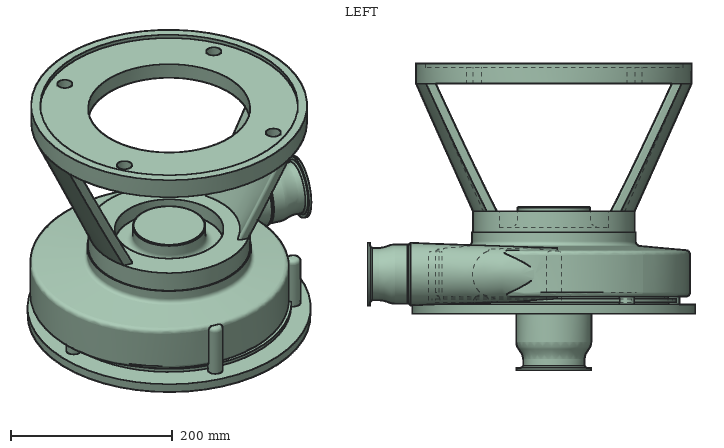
import cadquery as cq
import math

PLATE_R = 175.0
PLATE_T = 11.7

CASING_BOTTOM = 21.0
CASING_TOP_AT_AXIS = 93.5
CASING_TOP_SLOPE = math.radians(5.2)
CASING_EDGE_FILLET = 5.5
SPIRAL_RADII = (171.0, 164.0, 150.5)
SPIRAL_BEARINGS = (155, 220, 360, 505)
SPIRAL_MARGIN = 20.2
FIRST_CENTRE = (-4.0, 0.0)
COVER_LIP_R = 151.0
COVER_LIP_BOTTOM = 14.0
COVER_LIP_TOP = 18.5
COVER_SPIGOT_R = 141.7

POST_COUNT = 5
POST_R = 9.5
POST_CIRCLE_R = 153.5
POST_TOP = 77.7
POST_FILLET = 5.0

NECK_R = 101.2
NECK_TOP = 101.0
NECK_FILLET = 5.5
RING_R = 100.0
RING_TOP = 126.7
RING_BORE_R = 67.2
RING_BORE_DEPTH = 20.0
HUB_R = 45.0
HUB_TOP = 132.0
HUB_CHAMFER = 1.2
HUB_FILLET = 10.0

FLANGE_R = 170.5
FLANGE_BOTTOM = 284.2
FLANGE_TOP = 309.5
FLANGE_BORE_R = RING_R
RECESS_R = 159.0
RECESS_DEPTH = 5.0
BOLT_HOLE_R = 9.5
BOLT_COUNT = 4
BOLT_CIRCLE_R = 140.0
BOLT_START_BEARING = 45
LEG_T = 12.5
LEG_HALF_WIDTH_BOTTOM = 56.0
LEG_HALF_WIDTH_TOP = 64.5
LEG_FILLET = 3.0

INLET_R = 46.5
INLET_NECK_R = 38.0
INLET_FERRULE_R = 46.0
INLET_LENGTH = 70.0
INLET_STRAIGHT = 35.0

OUTLET_X = -140.0
OUTLET_Z = 49.0
OUTLET_END_Y = 230.0
OUTLET_START_Y = -4.0
OUTLET_BODY_END_Y = 177.0
OUTLET_START_R = 32.5
OUTLET_BODY_R = 39.0
OUTLET_R = 37.0
OUTLET_NECK_R = 32.5
OUTLET_FERRULE_R = 39.0
OUTLET_CHAMFER = 2.0
OUTLET_GROOVE = 1.0
OUTLET_STRAIGHT = 15.0

FERRULE_RIM = 3.2
FERRULE_FLARE = 2.5
FERRULE_STEP = 2.5
NECK_LENGTH = 8.5


def disc(radius, bottom, top):
    """Cylinder on the pump axis between two heights."""
    return cq.Workplane("XY").workplane(offset=bottom).circle(radius).extrude(top - bottom)


def on_circle(radius, bearing_deg, centre=(0.0, 0.0)):
    """Point at a bearing on a circle in plan."""
    angle = math.radians(bearing_deg)
    return (centre[0] + radius * math.cos(angle), centre[1] + radius * math.sin(angle))


def casing_top(radius):
    """Height of the conical casing roof at a distance from the axis."""
    return CASING_TOP_AT_AXIS - radius * math.tan(CASING_TOP_SLOPE)


def spiral_outline():
    """Tangent arcs of falling radius, closed by a short line under the outlet."""
    centre = FIRST_CENTRE
    radius = SPIRAL_RADII[0]
    outline = cq.Workplane("XY").workplane(offset=CASING_BOTTOM)
    outline = outline.moveTo(*on_circle(radius, SPIRAL_BEARINGS[0], centre))
    for i, next_radius in enumerate(SPIRAL_RADII):
        start, end = SPIRAL_BEARINGS[i], SPIRAL_BEARINGS[i + 1]
        centre = on_circle(radius - next_radius, start, centre)
        radius = next_radius
        middle = on_circle(radius, (start + end) / 2, centre)
        outline = outline.threePointArc(middle, on_circle(radius, end, centre))
    return outline.close()


def casing():
    drum = spiral_outline().extrude(CASING_TOP_AT_AXIS - CASING_BOTTOM)
    reach = PLATE_R + SPIRAL_MARGIN
    roof = (
        cq.Workplane("XZ")
        .polyline([(0, 0), (reach, 0), (reach, casing_top(reach)), (0, CASING_TOP_AT_AXIS)])
        .close()
        .revolve(360, (0, 0, 0), (0, 1, 0))
    )
    drum = drum.intersect(roof)
    drum = drum.edges("not |Z").fillet(CASING_EDGE_FILLET)
    lip = disc(COVER_LIP_R, COVER_LIP_BOTTOM, COVER_LIP_TOP)
    spigot = disc(COVER_SPIGOT_R, PLATE_T, CASING_BOTTOM)
    return drum.union(lip).union(spigot)


def posts():
    post_set = (
        cq.Workplane("XY")
        .workplane(offset=PLATE_T)
        .polarArray(POST_CIRCLE_R, 0, 360, POST_COUNT)
        .circle(POST_R)
        .extrude(POST_TOP - PLATE_T)
    )
    return post_set.faces(">Z").edges().fillet(POST_FILLET)


def neck_and_hub():
    """Neck with a flared foot, bored ring on top, and hub rising in the bore."""
    foot_r = NECK_R + NECK_FILLET
    foot_z = casing_top(foot_r)
    floor_z = RING_TOP - RING_BORE_DEPTH
    fillet_mid = 1 - math.sqrt(0.5)
    hub_foot_r = HUB_R + HUB_FILLET
    return (
        cq.Workplane("XZ")
        .moveTo(0, CASING_BOTTOM)
        .lineTo(foot_r, CASING_BOTTOM)
        .lineTo(foot_r, foot_z)
        .threePointArc(
            (NECK_R + NECK_FILLET * fillet_mid, foot_z + NECK_FILLET * fillet_mid),
            (NECK_R, foot_z + NECK_FILLET),
        )
        .lineTo(NECK_R, NECK_TOP)
        .lineTo(RING_R, NECK_TOP)
        .lineTo(RING_R, RING_TOP)
        .lineTo(RING_BORE_R, RING_TOP)
        .lineTo(RING_BORE_R, floor_z)
        .lineTo(hub_foot_r, floor_z)
        .threePointArc(
            (HUB_R + HUB_FILLET * fillet_mid, floor_z + HUB_FILLET * fillet_mid),
            (HUB_R, floor_z + HUB_FILLET),
        )
        .lineTo(HUB_R, HUB_TOP - HUB_CHAMFER)
        .lineTo(HUB_R - HUB_CHAMFER, HUB_TOP)
        .lineTo(0, HUB_TOP)
        .close()
        .revolve(360, (0, 0, 0), (0, 1, 0))
    )


def motor_flange():
    flange = disc(FLANGE_R, FLANGE_BOTTOM, FLANGE_TOP)
    flange = flange.cut(disc(RECESS_R, FLANGE_TOP - RECESS_DEPTH, FLANGE_TOP))
    flange = flange.cut(disc(FLANGE_BORE_R, FLANGE_BOTTOM, FLANGE_TOP))
    bolt_holes = (
        cq.Workplane("XY")
        .workplane(offset=FLANGE_BOTTOM)
        .polarArray(BOLT_CIRCLE_R, BOLT_START_BEARING, 360, BOLT_COUNT)
        .circle(BOLT_HOLE_R)
        .extrude(FLANGE_TOP - FLANGE_BOTTOM)
    )
    return flange.cut(bolt_holes)


def legs():
    """Two tapered strips of a conical shell joining the ring to the flange."""
    shell = (
        cq.Workplane("XZ")
        .polyline([
            (RING_R - LEG_T, RING_TOP),
            (RING_R, RING_TOP),
            (FLANGE_R, FLANGE_BOTTOM),
            (FLANGE_R - LEG_T, FLANGE_BOTTOM),
        ])
        .close()
        .revolve(360, (0, 0, 0), (0, 1, 0))
    )
    width = (
        cq.Workplane("XZ")
        .polyline([
            (-LEG_HALF_WIDTH_BOTTOM, RING_TOP),
            (LEG_HALF_WIDTH_BOTTOM, RING_TOP),
            (LEG_HALF_WIDTH_TOP, FLANGE_BOTTOM),
            (-LEG_HALF_WIDTH_TOP, FLANGE_BOTTOM),
        ])
        .close()
        .extrude(FLANGE_R, both=True)
    )
    strips = shell.intersect(width)
    mid_radius = (RING_R + FLANGE_R - LEG_T) / 2
    mid_half_width = (LEG_HALF_WIDTH_BOTTOM + LEG_HALF_WIDTH_TOP) / 2
    depth = math.sqrt(mid_radius**2 - mid_half_width**2)
    inner_edges = cq.selectors.BoxSelector(
        (-FLANGE_R, -depth, RING_TOP + LEG_T),
        (FLANGE_R, depth, FLANGE_BOTTOM - LEG_T),
    )
    return strips.edges(inner_edges).fillet(LEG_FILLET)


def pipe_end(pipe_r, neck_r, ferrule_r, straight, length, base_points):
    """Solid pipe along +Z from the origin, narrowing to a neck and clamp ferrule."""
    rim = length - FERRULE_RIM
    flare = rim - FERRULE_FLARE
    neck = flare - NECK_LENGTH
    profile = cq.Workplane("XZ").polyline(base_points).lineTo(pipe_r, straight)
    return (
        profile.spline([(neck_r, neck)], tangents=[(0, 1), (0, 1)], includeCurrent=True)
        .lineTo(neck_r, flare)
        .lineTo(neck_r + FERRULE_STEP, rim)
        .lineTo(ferrule_r, rim)
        .lineTo(ferrule_r, length)
        .lineTo(0, length)
        .close()
        .revolve(360, (0, 0, 0), (0, 1, 0))
    )


def inlet():
    pipe = pipe_end(
        INLET_R, INLET_NECK_R, INLET_FERRULE_R, INLET_STRAIGHT, INLET_LENGTH,
        [(0, 0), (INLET_R, 0)],
    )
    return pipe.rotate((0, 0, 0), (1, 0, 0), 180)


def outlet():
    """Pipe widening away from the casing, with a chamfered shoulder before its end."""
    body = OUTLET_BODY_END_Y - OUTLET_START_Y
    shoulder = body + OUTLET_CHAMFER
    pipe_start = shoulder + OUTLET_CHAMFER
    groove_r = OUTLET_R - OUTLET_GROOVE
    pipe = pipe_end(
        OUTLET_R, OUTLET_NECK_R, OUTLET_FERRULE_R,
        pipe_start + OUTLET_STRAIGHT, OUTLET_END_Y - OUTLET_START_Y,
        [
            (0, 0),
            (OUTLET_START_R, 0),
            (OUTLET_BODY_R, body),
            (OUTLET_BODY_R - OUTLET_CHAMFER, shoulder),
            (groove_r, shoulder),
            (OUTLET_R, pipe_start),
        ],
    )
    return pipe.rotate((0, 0, 0), (1, 0, 0), -90).translate((OUTLET_X, OUTLET_START_Y, OUTLET_Z))


result = disc(PLATE_R, 0, PLATE_T)
for feature in (casing(), posts(), neck_and_hub(), outlet(), inlet(), legs(), motor_flange()):
    result = result.union(feature)